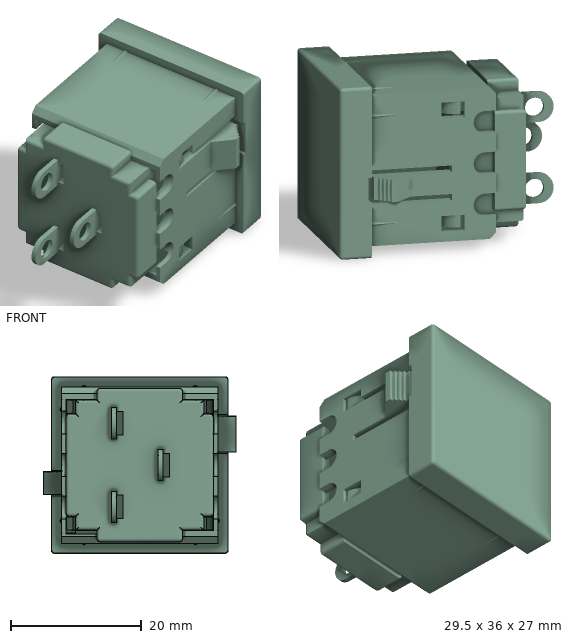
import cadquery as cq
import math


COLLAR_SIZE = 27.0
COLLAR_DEPTH = 5.0
COLLAR_FILLET = 0.5
FRONT_SKIN = 3.0
BODY_SIZE = 23.9
BODY_DEPTH = 20.0
BODY_HALF = BODY_SIZE / 2
REAR_CHAMFER = 1.0
MOUTH_WALL = 0.7
MOUTH_HALF_X = BODY_HALF - MOUTH_WALL
CAVITY_HALF_X = 10.4
CAVITY_HALF_Z = 10.0
KEY_DEPTH = 0.5
KEY_INNER_X = -6.0

LID_DEPTH = 5.0
LID_REAR = -BODY_DEPTH - LID_DEPTH
LID_FILLET = 0.5
LID_REAR_FILLET = 0.49
CENTRE_HALF_X = 6.55
CENTRE_HALF_Z = 11.72
MIDDLE_HALF_X = 9.8
MIDDLE_HALF_Z = 9.95
SIDE_HALF_X = MOUTH_HALF_X
SIDE_HALF_Z = 7.85
PLUG_HALF_X = MIDDLE_HALF_X
PLUG_DEPTH = 4.0

WINDOW_FRONT = -11.4
WINDOW_REAR = -15.0
WINDOW_HEIGHT = 2.5
ARM_LOW_Z = 7.9
WINDOW_TOPS = (
    (-1, CAVITY_HALF_Z),
    (-1, -ARM_LOW_Z),
    (1, CAVITY_HALF_Z),
    (1, WINDOW_HEIGHT - CAVITY_HALF_Z),
)
ARM_INNER_X = 8.6
BARB_TIP_Y = -14.5
BARB_OUTER_RADIUS = 3.0
BARB_INNER_RADIUS = 2.6
BARB_ROOT_X = 10.2

TOOTH_BACK = -0.55
TOOTH_TIP_X = 14.75
TOOTH_TIP_FRONT = -2.75
TOOTH_TIP_REAR = -3.75
TOOTH_STEPS = 4
TOOTH_STEP_X = 0.5
TOOTH_STEP_Y = 0.5
ARM_SLOT_WIDTH = 1.0
ARM_SLOT_LENGTH = 13.0
RELIEF_DEPTH = 0.55
RELIEF_MARGIN = 0.2
LATCHES = (
    {"side": -1, "bottom": -4.5, "height": 3.5},
    {"side": 1, "bottom": 2.0, "height": 5.5},
)

TERMINAL_THICKNESS = 0.75
TERMINAL_WIDTH = 4.75
TERMINAL_REACH = 6.0
TERMINAL_EMBED = 4.0
TERMINAL_HOLE = 3.0
TERMINAL_HOLE_TO_TIP = 3.0
TERMINAL_PITCH = 6.4
TERMINAL_SPOTS = ((-3.95, TERMINAL_PITCH), (3.2, 0.0), (-3.95, -TERMINAL_PITCH))
RECESS_WIDTH = 1.0
RECESS_HEIGHT = 3.6
RECESS_DEPTH = 2.0

NOTCH_RADIUS = 1.75
NOTCH_DEPTH = 3.55
NOTCH_PITCH = 6.5
RIB_OFFSET = 8.5
RIB_WIDTH = 0.8
RIB_HEIGHT = 0.25
RIB_LENGTH = 4.5


def block(x0, x1, y0, y1, z0, z1):
    """Box between two opposite corners."""
    return cq.Workplane("XY").box(x1 - x0, y1 - y0, z1 - z0, centered=False).translate((x0, y0, z0))


def centred_block(half_x, half_z, y0, y1):
    """Box centred on the Y axis."""
    return block(-half_x, half_x, y0, y1, -half_z, half_z)


def side_block(side, x_inner, x_outer, y0, y1, z0, z1):
    """Box on the -X side (side = -1) or the +X side (side = 1)."""
    x0, x1 = sorted((side * x_inner, side * x_outer))
    return block(x0, x1, y0, y1, z0, z1)


def make_shell():
    collar = centred_block(COLLAR_SIZE / 2, COLLAR_SIZE / 2, 0, COLLAR_DEPTH)
    collar = collar.edges("|Y").fillet(COLLAR_FILLET)
    collar = collar.faces(">Y").edges().fillet(COLLAR_FILLET)
    body = centred_block(BODY_HALF, BODY_HALF, -BODY_DEPTH, 0)
    body = body.faces("<Y").edges("|X").chamfer(REAR_CHAMFER)
    cavity = centred_block(CAVITY_HALF_X, CAVITY_HALF_Z, -BODY_DEPTH, COLLAR_DEPTH - FRONT_SKIN)
    key_floor = -CAVITY_HALF_Z - KEY_DEPTH
    key = block(-MOUTH_HALF_X, KEY_INNER_X, -BODY_DEPTH, WINDOW_REAR, key_floor, -CAVITY_HALF_Z)
    return collar.union(body).cut(cavity).cut(key)


def latch_tooth(latch):
    """Stepped tooth on the free end of a latch arm, rooted inside the arm."""
    step_x = TOOTH_TIP_X - TOOTH_STEPS * TOOTH_STEP_X
    step_y = TOOTH_TIP_FRONT + (TOOTH_STEPS - 1) * TOOTH_STEP_Y
    points = [(CAVITY_HALF_X, TOOTH_BACK), (step_x, TOOTH_BACK)]
    for step in range(TOOTH_STEPS):
        y = step_y - step * TOOTH_STEP_Y
        points.append((step_x + step * TOOTH_STEP_X, y))
        points.append((step_x + (step + 1) * TOOTH_STEP_X, y))
    ramp = TOOTH_TIP_X - BODY_HALF
    points += [
        (TOOTH_TIP_X, TOOTH_TIP_REAR),
        (BODY_HALF, TOOTH_TIP_REAR - ramp),
        (CAVITY_HALF_X, TOOTH_TIP_REAR - ramp),
    ]
    outline = [(latch["side"] * x, y) for x, y in points]
    tooth = cq.Workplane("XY").polyline(outline).close().extrude(latch["height"])
    return tooth.translate((0, 0, latch["bottom"]))


def add_latch(housing, latch):
    """Free a wall strip on three sides, relieve the collar behind it and add the tooth."""
    side = latch["side"]
    bottom = latch["bottom"]
    top = bottom + latch["height"]
    wall = (CAVITY_HALF_X, BODY_HALF)
    slot_bottom = bottom - ARM_SLOT_WIDTH
    slot_top = top + ARM_SLOT_WIDTH
    lower_slot = side_block(side, *wall, -ARM_SLOT_LENGTH, 0, slot_bottom, bottom)
    upper_slot = side_block(side, *wall, -ARM_SLOT_LENGTH, 0, top, slot_top)
    end_gap = side_block(side, *wall, TOOTH_BACK, 0, slot_bottom, slot_top)
    relief_bottom = bottom - RELIEF_MARGIN
    relief_top = top + RELIEF_MARGIN
    relief = side_block(side, CAVITY_HALF_X, COLLAR_SIZE / 2, 0, RELIEF_DEPTH, relief_bottom, relief_top)
    housing = housing.cut(lower_slot).cut(upper_slot).cut(end_gap).cut(relief)
    return housing.union(latch_tooth(latch))


def cut_snap_openings(housing):
    """Thin the side wall in each corner for a snap arm and open a window for its barb."""
    for side, top in WINDOW_TOPS:
        low = top - WINDOW_HEIGHT
        pocket = side_block(side, MIDDLE_HALF_X, MOUTH_HALF_X, -BODY_DEPTH, WINDOW_FRONT, low, top)
        window = side_block(side, MIDDLE_HALF_X, BODY_HALF, WINDOW_REAR, WINDOW_FRONT, low, top)
        housing = housing.cut(pocket).cut(window)
    return housing


def wire_notches():
    """Round-ended notches through both side walls, open to the rear."""
    arc_y = -BODY_DEPTH + NOTCH_DEPTH - NOTCH_RADIUS
    profile = (
        cq.Workplane("YZ")
        .moveTo(-BODY_DEPTH, -NOTCH_RADIUS)
        .lineTo(arc_y, -NOTCH_RADIUS)
        .threePointArc((arc_y + NOTCH_RADIUS, 0), (arc_y, NOTCH_RADIUS))
        .lineTo(-BODY_DEPTH, NOTCH_RADIUS)
        .close()
    )
    notch = profile.extrude(BODY_HALF, both=True)
    notches = cq.Workplane("XY")
    for row in (-1, 0, 1):
        notches = notches.add(notch.translate((0, 0, row * NOTCH_PITCH)))
    return notches.combine()


def crush_rib(offset, turn):
    """Pointed three-sided rib on the top wall, turned about Y to the wanted wall."""
    left = cq.Vector(offset - RIB_WIDTH / 2, 0, BODY_HALF)
    right = cq.Vector(offset + RIB_WIDTH / 2, 0, BODY_HALF)
    ridge = cq.Vector(offset, 0, BODY_HALF + RIB_HEIGHT)
    point = cq.Vector(offset, -RIB_LENGTH, BODY_HALF)
    corners = ((left, right, ridge), (left, right, point), (left, ridge, point), (right, ridge, point))
    faces = [cq.Face.makeFromWires(cq.Wire.makePolygon(c, close=True)) for c in corners]
    rib = cq.Solid.makeSolid(cq.Shell.makeShell(faces))
    return cq.Workplane(rib).rotate((0, 0, 0), (0, 1, 0), turn)


def make_housing():
    housing = make_shell()
    for latch in LATCHES:
        housing = add_latch(housing, latch)
    housing = cut_snap_openings(housing).cut(wire_notches())
    for turn in (0, 90, 180, 270):
        for offset in (-RIB_OFFSET, RIB_OFFSET):
            beside_wide_latch = turn == 90 and offset < 0
            if not beside_wide_latch:
                housing = housing.union(crush_rib(offset, turn))
    return housing


def snap_arm():
    """Arm for the -X, +Z corner, ending in a curved barb that flares back toward the lid."""
    centre_x = -ARM_INNER_X
    root_rise = math.sqrt(BARB_INNER_RADIUS**2 - (BARB_ROOT_X - ARM_INNER_X) ** 2)
    root_y = BARB_TIP_Y + root_rise
    root_slope = BARB_ROOT_X - MIDDLE_HALF_X
    middle_angle = math.radians(45)
    outer_middle = (
        centre_x - BARB_OUTER_RADIUS * math.cos(middle_angle),
        BARB_TIP_Y + BARB_OUTER_RADIUS * math.sin(middle_angle),
    )
    inner_angle = math.atan2(root_rise, BARB_ROOT_X - ARM_INNER_X) / 2
    inner_middle = (
        centre_x - BARB_INNER_RADIUS * math.cos(inner_angle),
        BARB_TIP_Y + BARB_INNER_RADIUS * math.sin(inner_angle),
    )
    arm = (
        cq.Workplane("XY", origin=(0, 0, ARM_LOW_Z))
        .moveTo(-ARM_INNER_X, -BODY_DEPTH)
        .lineTo(-MIDDLE_HALF_X, -BODY_DEPTH)
        .lineTo(-MIDDLE_HALF_X, root_y - root_slope)
        .lineTo(-BARB_ROOT_X, root_y)
        .threePointArc(inner_middle, (centre_x - BARB_INNER_RADIUS, BARB_TIP_Y))
        .lineTo(centre_x - BARB_OUTER_RADIUS, BARB_TIP_Y)
        .threePointArc(outer_middle, (centre_x, BARB_TIP_Y + BARB_OUTER_RADIUS))
        .close()
    )
    return arm.extrude(MIDDLE_HALF_Z - ARM_LOW_Z)


def make_lid():
    """Stepped cross-shaped lid with rounded rear edges."""
    centre = centred_block(CENTRE_HALF_X, CENTRE_HALF_Z, LID_REAR, -BODY_DEPTH)
    centre = centre.edges("|Y").fillet(LID_FILLET)
    middle = centred_block(MIDDLE_HALF_X, MIDDLE_HALF_Z, LID_REAR, -BODY_DEPTH)
    sides = centred_block(SIDE_HALF_X, SIDE_HALF_Z, LID_REAR, -BODY_DEPTH)
    sides = sides.edges("|Y").fillet(LID_FILLET)
    lid = centre.union(middle).union(sides)
    return lid.faces("<Y").edges().fillet(LID_REAR_FILLET)


def terminal_recess(x, z):
    """Shallow pocket in the rear face of the lid, along the +X face of a terminal."""
    x0 = x + TERMINAL_THICKNESS / 2
    half = RECESS_HEIGHT / 2
    return block(x0, x0 + RECESS_WIDTH, LID_REAR, LID_REAR + RECESS_DEPTH, z - half, z + half)


def make_base():
    base = make_lid().union(
        centred_block(PLUG_HALF_X, SIDE_HALF_Z, -BODY_DEPTH, -BODY_DEPTH + PLUG_DEPTH)
    )
    upper_left = snap_arm()
    upper_right = upper_left.mirror("YZ")
    for arm in (upper_left, upper_right):
        base = base.union(arm).union(arm.mirror("XY"))
    for x, z in TERMINAL_SPOTS:
        base = base.cut(terminal_recess(x, z)).cut(make_terminal(x, z))
    return base


def make_terminal(x, z):
    """Flat blade with a round end and a wire hole, its front end set into the base."""
    half = TERMINAL_WIDTH / 2
    tip = LID_REAR - TERMINAL_REACH
    front = LID_REAR + TERMINAL_EMBED
    blade = (
        cq.Workplane("YZ")
        .moveTo(front, -half)
        .lineTo(tip + half, -half)
        .threePointArc((tip, 0), (tip + half, half))
        .lineTo(front, half)
        .close()
        .extrude(TERMINAL_THICKNESS / 2, both=True)
    )
    hole = cq.Workplane("YZ").center(tip + TERMINAL_HOLE_TO_TIP, 0).circle(TERMINAL_HOLE / 2)
    return blade.cut(hole.extrude(TERMINAL_THICKNESS, both=True)).translate((x, 0, z))


housing = make_housing()
base = make_base()
terminals = [make_terminal(x, z) for x, z in TERMINAL_SPOTS]

result = cq.Compound.makeCompound(
    [housing.solids().val(), base.solids().val(), *[terminal.solids().val() for terminal in terminals]]
)